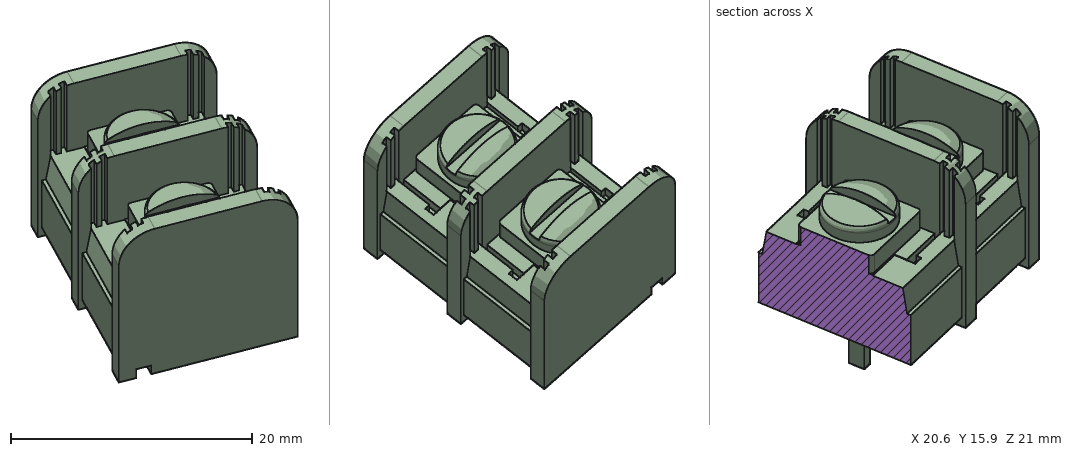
import cadquery as cq


pitch = 9.5
wall_thickness = 1.57
wall_depth = 15.88
wall_height = 16.35
wall_corner_radius = 3.18
wall_positions = (-pitch, 0, pitch)

bay_width = pitch - wall_thickness
bay_half = bay_width / 2
bay_centres = (-pitch / 2, pitch / 2)

body_bottom = 0.98
body_step_height = 6.3
body_top = 8.85
base_depth = 15.17
ledge_width = 0.35
shoulder_bottom_depth = base_depth - 2 * ledge_width
shoulder_top_depth = 13.62

notch_width = 1.32
notch_centre_y = -5.72

groove_width = 0.48
groove_spacing = 0.96
outer_groove_y = (shoulder_top_depth - groove_width) / 2
inner_groove_y = outer_groove_y - groove_spacing
groove_positions = (outer_groove_y, inner_groove_y, -inner_groove_y, -outer_groove_y)
right_facing_groove_depth = 0.59
left_facing_groove_depth = 0.5

recess_floor = 7.84
recess_depth = 2 * inner_groove_y - groove_width
relief_width = 0.92
relief_depth = 11.71

plate_top = 8.9
plate_narrow_depth = 7.6
plate_wide_depth = 10.05

clamp_size = 7.44
clamp_top = 10.83
clamp_corner_radius = 0.35

head_radius = 3.33
head_side_top = 11.88
dome_edge_radius = 3.1
dome_edge_height = 12.38
dome_top = 13.14
driver_slot_width = 1.07
driver_slot_floor = 12.03

pin_thickness = 0.85
pin_width = 1.55
pin_length = 4.6


def block(x_min, x_max, depth, z_min, z_max, y_centre=0):
    """Box between two X and two Z values, centred on y_centre."""
    return (
        cq.Workplane("XY")
        .box(x_max - x_min, depth, z_max - z_min, centered=(False, True, False))
        .translate((x_min, y_centre, z_min))
    )


def make_wall():
    half = wall_thickness / 2
    wall = block(-half, half, wall_depth, 0, wall_height)
    wall = wall.edges("|X and >Z").fillet(wall_corner_radius)
    return wall.cut(block(-half, half, notch_width, 0, body_bottom, notch_centre_y))


def make_bay_body():
    """Stepped body with sloping shoulders and the recess for the contact plate."""
    half_section = [
        (base_depth / 2, body_bottom),
        (base_depth / 2, body_step_height),
        (shoulder_bottom_depth / 2, body_step_height),
        (shoulder_top_depth / 2, body_top),
    ]
    mirrored_section = [(-y, z) for y, z in reversed(half_section)]
    body = (
        cq.Workplane("YZ")
        .polyline(half_section + mirrored_section)
        .close()
        .extrude(bay_half, both=True)
    )
    recess_start = -relief_width / 2
    recess = block(recess_start, bay_half, recess_depth, recess_floor, body_top)
    relief = block(recess_start, relief_width / 2, relief_depth, recess_floor, body_top)
    return body.cut(recess).cut(relief)


def make_contact_plate():
    plate_right = clamp_size / 2
    narrow = block(-bay_half, plate_right, plate_narrow_depth, recess_floor, plate_top)
    wide = block(-relief_width / 2, plate_right, plate_wide_depth, recess_floor, plate_top)
    return narrow.union(wide)


def make_clamp():
    half = clamp_size / 2
    clamp = block(-half, half, clamp_size, plate_top, clamp_top)
    return clamp.edges("|Z").fillet(clamp_corner_radius)


def make_screw_head():
    """Revolved domed head with a driver slot along Y."""
    dome_sag = dome_top - dome_edge_height
    dome_radius = (dome_edge_radius**2 + dome_sag**2) / (2 * dome_sag)
    mid_radius = dome_edge_radius / 2
    mid_height = dome_top - dome_radius + (dome_radius**2 - mid_radius**2) ** 0.5
    head = (
        cq.Workplane("XZ")
        .moveTo(0, clamp_top)
        .lineTo(head_radius, clamp_top)
        .lineTo(head_radius, head_side_top)
        .tangentArcPoint((dome_edge_radius, dome_edge_height), relative=False)
        .threePointArc((mid_radius, mid_height), (0, dome_top))
        .close()
        .revolve(360, (0, 0, 0), (0, 1, 0))
    )
    slot_half = driver_slot_width / 2
    return head.cut(block(-slot_half, slot_half, 2 * head_radius, driver_slot_floor, dome_top))


def make_pin():
    half = pin_thickness / 2
    return block(-half, half, pin_width, -pin_length, body_bottom)


def make_groove_cutter():
    """Grooves cut into the two wall faces that look into one bay."""
    cutter = cq.Workplane("XY")
    for y in groove_positions:
        left_end = -bay_half - right_facing_groove_depth
        right_end = bay_half + left_facing_groove_depth
        cutter = cutter.union(block(left_end, -bay_half, groove_width, body_top, wall_height, y))
        cutter = cutter.union(block(bay_half, right_end, groove_width, body_top, wall_height, y))
    return cutter


wall = make_wall()
groove_cutter = make_groove_cutter()
bay = (
    make_bay_body()
    .union(make_contact_plate())
    .union(make_clamp())
    .union(make_screw_head())
    .union(make_pin())
)

result = cq.Workplane("XY")
for x in wall_positions:
    result = result.union(wall.translate((x, 0, 0)))
for x in bay_centres:
    result = result.cut(groove_cutter.translate((x, 0, 0)))
    result = result.union(bay.translate((x, 0, 0)))